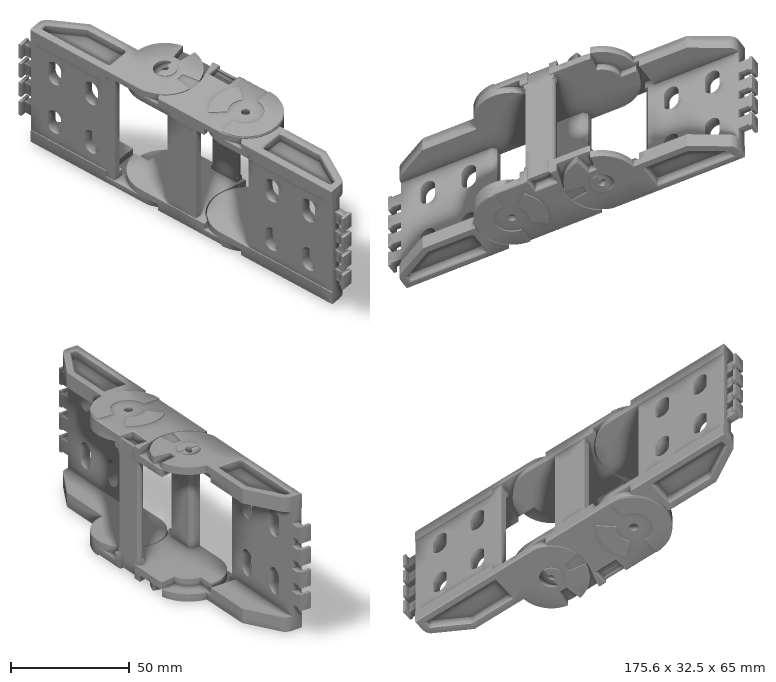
import cadquery as cq
import math

CROWN_Y = 32.5
HINGE_X = 21.8
HINGE_Y = CROWN_Y / 2
DISC_R = CROWN_Y / 2
BADGE_Z = 32.5
CHEEK_Z = 32.0
LAYER_Z = 28.5
INNER_Z = 25.1
EDGE_BEVEL = 0.44

BRACKET_END = 81.5
CHEEK_TOP_Y = 18.3
SLOPE_START = 63.7
SLOPE_ANGLE = math.radians(30)
SLOPE = math.tan(SLOPE_ANGLE)
CORNER_R = 4.4
PLATE_FRONT_Y = 0.44
PLATE_BACK_Y = 5.3
PLATE_INNER_X = 36.2
PLATE_CHAMFER = 1.5
INNER_CHEEK_STOP = 40.7

POCKET_WALL = 3.3
POCKET_INNER_X = 41.5
POCKET_DEPTH = 4.4
POCKET_R = 1.0
RIM_BEVEL = 0.44

SLOT_XS = (48.8, 68.6)
SLOT_Z = 13.7
SLOT_LENGTH = 12.5
SLOT_WIDTH = 7.0
HOOK_PITCH = 10.7
HOOK_COUNT = 4
STEM_WIDTH = 6.0
STEM_FRONT_Y = 2.1
HOOK_WIDTH = 7.7
HOOK_THICK = 1.4
HOOK_END = 87.8

RELIEF_R = 16.8
FOOT_TOP_Y = 3.5
LINK_OUTER_FOOT = (9.3, 7.9)
LINK_INNER_FOOT = (9.3, 9.3)
BRACKET_FOOT = (10.5, 8.8)
RELIEF_LEAN = 16.0
PIN_R = 5.1
LEFT_PIN_BORE_R = 1.5
RIGHT_PIN_BORE_R = 2.0
PIN_BORE_DEPTH = 2.6
PIN_RAMP_DROP = 2.8
TOOTH_ROOT_R = 8.0
TOOTH_ROOT_WIDTH = 3.9
TOOTH_TIP_WIDTH = 6.7
TOOTH_TOP_Z = 31.5
HUB_R = 9.0

BADGE_HUB_R = 7.9
BADGE_R = 16.0
SECTOR_INNER_R = 7.4
SECTOR_OUTER_R = 15.6
SECTOR_HALF_ANGLE = 41.0

BAR_HALF_WIDTH = 7.7
SNAP_HALF_WIDTH = 7.0
SNAP_FACE_HALF_WIDTH = 6.3
SNAP_BACK_Y = 32.0
SNAP_FRONT_Y = 28.8
SNAP_FACET = 1.0
SNAP_FACET_END_Z = 22.8
NOTCH_HALF_WIDTH = 5.3
NOTCH_FLOOR_Y = 25.6
NOTCH_FLOOR_Z = 26.7
SNAP_TONGUE_STEPS = (
    (NOTCH_FLOOR_Y, 27.4),
    (27.2, 28.0),
    (28.5, 28.6),
    (29.3, 29.1),
    (30.9, 30.4),
)


def slab(points, z_low, z_high):
    """Prism over a straight-sided outline."""
    return cq.Workplane("XY").workplane(offset=z_low).polyline(points).close().extrude(z_high - z_low)


def disc(x, radius, z_low, z_high):
    """Round slab on a hinge axis."""
    return (
        cq.Workplane("XY").workplane(offset=z_low)
        .center(x, HINGE_Y).circle(radius).extrude(z_high - z_low)
    )


def box(x_low, x_high, y_low, y_high, z_low, z_high):
    size = (x_high - x_low, y_high - y_low, z_high - z_low)
    return cq.Workplane("XY").box(*size, centered=False).translate((x_low, y_low, z_low))


def both_sides(upper):
    """The upper cheek and its mirror image."""
    return upper.union(upper.mirror("XY"))


def edge_bevel(y_edge, inward):
    """Cutter for the long outer edge of the upper cheek."""
    profile = [
        (y_edge, CHEEK_Z),
        (y_edge + inward * EDGE_BEVEL, CHEEK_Z),
        (y_edge, CHEEK_Z - EDGE_BEVEL),
    ]
    return (
        cq.Workplane("YZ").workplane(offset=-HOOK_END)
        .polyline(profile).close().extrude(2 * HOOK_END)
    )


def tooth(x, angle, z_low, z_high):
    """Locking tooth at the rim of a disc: a wedge along +X, turned by the angle about the axis."""
    tip_x = x + RELIEF_R
    outline = [
        (x + TOOTH_ROOT_R, HINGE_Y - TOOTH_ROOT_WIDTH / 2),
        (tip_x, HINGE_Y - TOOTH_TIP_WIDTH / 2),
        (tip_x, HINGE_Y + TOOTH_TIP_WIDTH / 2),
        (x + TOOTH_ROOT_R, HINGE_Y + TOOTH_ROOT_WIDTH / 2),
    ]
    return slab(outline, z_low, z_high).rotate((x, HINGE_Y, 0), (x, HINGE_Y, 1), angle)


def hinge_relief(foot_reach, z_low, z_high):
    """Clearance in the part to the right of the left hinge, with room for the disc to swing."""
    axis_x = -HINGE_X
    lean = math.radians(RELIEF_LEAN)
    touch_x = axis_x + RELIEF_R * math.cos(lean)
    touch_y = HINGE_Y + RELIEF_R * math.sin(lean)
    top_x = touch_x - (CROWN_Y - touch_y) * math.tan(lean)
    upper = slab(
        [(axis_x, HINGE_Y), (touch_x, touch_y), (top_x, CROWN_Y), (axis_x, CROWN_Y)], z_low, z_high
    )
    mouth, neck = foot_reach
    foot = slab(
        [(axis_x, 0), (axis_x + mouth, 0), (axis_x + neck, FOOT_TOP_Y), (axis_x, FOOT_TOP_Y)], z_low, z_high
    )
    return disc(axis_x, RELIEF_R, z_low, z_high).union(upper).union(foot)



def bracket_cheek(inner_x, z_low, z_high):
    """One layer of a cheek from the outer end to inner_x."""
    end_y = CHEEK_TOP_Y - (BRACKET_END - SLOPE_START) * SLOPE
    outline = [
        (-BRACKET_END, 0), (-inner_x, 0), (-inner_x, CHEEK_TOP_Y),
        (-SLOPE_START, CHEEK_TOP_Y), (-BRACKET_END, end_y),
    ]
    cheek = slab(outline, z_low, z_high)
    corner = cq.selectors.NearestToPointSelector((-BRACKET_END, end_y, (z_low + z_high) / 2))
    return cheek.edges(corner).fillet(CORNER_R)


def cheek_pocket():
    """Blind pocket in the outer face, parallel to the cheek outline, with a bevelled rim."""
    top_y = CHEEK_TOP_Y - POCKET_WALL
    end_x = BRACKET_END - POCKET_WALL
    bend_x = SLOPE_START - POCKET_WALL * math.tan(SLOPE_ANGLE / 2)
    end_y = top_y - (end_x - bend_x) * SLOPE
    outline = [
        (-end_x, POCKET_WALL), (-POCKET_INNER_X, POCKET_WALL), (-POCKET_INNER_X, top_y),
        (-bend_x, top_y), (-end_x, end_y),
    ]
    pocket = slab(outline, CHEEK_Z - POCKET_DEPTH, CHEEK_Z).edges("|Z").fillet(POCKET_R)
    rim = (
        cq.Workplane("XY").workplane(offset=CHEEK_Z - RIM_BEVEL)
        .polyline(outline).close().extrude(RIM_BEVEL, taper=-45)
    )
    return pocket.union(rim)


def mounting_slots():
    return (
        cq.Workplane("XZ").pushPoints([(-x, z) for x in SLOT_XS for z in (-SLOT_Z, SLOT_Z)])
        .slot2D(SLOT_LENGTH, SLOT_WIDTH, 90).extrude(-PLATE_BACK_Y)
    )


def end_hooks():
    """Row of L-shaped hooks on the outer end of the plate."""
    hooks = cq.Workplane("XY")
    for index in range(HOOK_COUNT):
        z = (index - (HOOK_COUNT - 1) / 2) * HOOK_PITCH
        stem = box(
            -HOOK_END, -BRACKET_END, STEM_FRONT_Y, PLATE_BACK_Y, z - STEM_WIDTH / 2, z + STEM_WIDTH / 2
        )
        lip = box(
            -HOOK_END, HOOK_THICK - HOOK_END, 0, PLATE_BACK_Y, z - HOOK_WIDTH / 2, z + HOOK_WIDTH / 2
        )
        hooks = hooks.union(stem).union(lip)
    return hooks


def bracket(cheek):
    """Bracket from its upper cheek: bevel and pocket, plate, slots and hooks."""
    cheek = cheek.cut(edge_bevel(0, 1)).cut(cheek_pocket())
    plate = box(-BRACKET_END, -PLATE_INNER_X, PLATE_FRONT_Y, PLATE_BACK_Y, -INNER_Z, INNER_Z)
    plate = plate.edges(">X and >Y").chamfer(PLATE_CHAMFER)
    return both_sides(cheek).union(plate).cut(mounting_slots()).union(end_hooks())


def make_left_bracket():
    """Its discs are in the outer layer and have two notches and a hole for the link's pin."""
    outer = bracket_cheek(HINGE_X, LAYER_Z, CHEEK_Z).union(disc(-HINGE_X, DISC_R, LAYER_Z, CHEEK_Z))
    outer = outer.cut(disc(-HINGE_X, PIN_R, LAYER_Z, CHEEK_Z))
    for angle in (0, 90):
        outer = outer.cut(tooth(-HINGE_X, angle, LAYER_Z, CHEEK_Z))
    inner = bracket_cheek(INNER_CHEEK_STOP, INNER_Z, LAYER_Z)
    plate_lug = box(-INNER_CHEEK_STOP, -PLATE_INNER_X, PLATE_FRONT_Y, PLATE_BACK_Y, INNER_Z, LAYER_Z)
    return bracket(outer.union(inner).union(plate_lug))


def make_right_bracket():
    """Its discs are in the inner layer and carry pins for the link; mirrored to the right end."""
    inner = bracket_cheek(HINGE_X, INNER_Z, LAYER_Z).union(disc(-HINGE_X, DISC_R, INNER_Z, LAYER_Z))
    relief = hinge_relief(BRACKET_FOOT, LAYER_Z, CHEEK_Z).mirror("YZ", (-HINGE_X, 0, 0))
    outer = bracket_cheek(HINGE_X, LAYER_Z, CHEEK_Z).cut(relief)
    pin = disc(-HINGE_X, PIN_R, INNER_Z, CHEEK_Z)
    bore = disc(-HINGE_X, RIGHT_PIN_BORE_R, CHEEK_Z - PIN_BORE_DEPTH, CHEEK_Z)
    return bracket(inner.union(outer).union(pin).cut(bore)).mirror("YZ")



def link_pin():
    """Pin for the left bracket: raised half towards the link, ramped half away from it."""
    pin = disc(-HINGE_X, PIN_R, LAYER_Z, BADGE_Z)
    ramp = (
        cq.Workplane("XZ")
        .polyline([
            (-HINGE_X, BADGE_Z), (-HINGE_X, CHEEK_Z),
            (-HINGE_X - PIN_R, CHEEK_Z - PIN_RAMP_DROP), (-HINGE_X - PIN_R, BADGE_Z),
        ])
        .close().extrude(-CROWN_Y)
    )
    bore = disc(-HINGE_X, LEFT_PIN_BORE_R, CHEEK_Z - PIN_BORE_DEPTH, BADGE_Z)
    return pin.cut(ramp).cut(bore)


def half_badge():
    """Raised outer half of the right disc, round the level hub."""
    ring = disc(HINGE_X, BADGE_R, CHEEK_Z, BADGE_Z).cut(disc(HINGE_X, BADGE_HUB_R, CHEEK_Z, BADGE_Z))
    return ring.intersect(box(HINGE_X, HINGE_X + DISC_R, 0, CROWN_Y, CHEEK_Z, BADGE_Z))


def sector_badge():
    """Raised ring sector on the left of the right hinge axis."""
    def polar(radius, angle):
        turn = math.radians(angle)
        return (HINGE_X - radius * math.cos(turn), HINGE_Y + radius * math.sin(turn))

    return (
        cq.Workplane("XY").workplane(offset=CHEEK_Z)
        .moveTo(*polar(SECTOR_INNER_R, -SECTOR_HALF_ANGLE))
        .lineTo(*polar(SECTOR_OUTER_R, -SECTOR_HALF_ANGLE))
        .threePointArc(polar(SECTOR_OUTER_R, 0), polar(SECTOR_OUTER_R, SECTOR_HALF_ANGLE))
        .lineTo(*polar(SECTOR_INNER_R, SECTOR_HALF_ANGLE))
        .threePointArc(polar(SECTOR_INNER_R, 0), polar(SECTOR_INNER_R, -SECTOR_HALF_ANGLE))
        .close().extrude(BADGE_Z - CHEEK_Z)
    )


def link_inner_layer():
    """Inner layer: the left disc, relieved above its hub beside a tooth, up to the right relief."""
    left = disc(-HINGE_X, DISC_R, INNER_Z, LAYER_Z)
    upper_left = box(-HINGE_X - DISC_R, -HINGE_X, HINGE_Y, CROWN_Y, INNER_Z, LAYER_Z)
    upper_left = upper_left.cut(disc(-HINGE_X, HUB_R, INNER_Z, LAYER_Z))
    left = left.cut(upper_left.cut(tooth(-HINGE_X, 90, INNER_Z, LAYER_Z)))
    body = box(-HINGE_X, HINGE_X, 0, CROWN_Y, INNER_Z, LAYER_Z)
    return body.cut(hinge_relief(LINK_INNER_FOOT, INNER_Z, LAYER_Z).mirror("YZ")).union(left)


def link_outer_layer():
    """Outer layer: from the left relief, with its locking tooth, to the right disc."""
    body = box(-HINGE_X, HINGE_X, 0, CROWN_Y, LAYER_Z, CHEEK_Z)
    body = body.cut(hinge_relief(LINK_OUTER_FOOT, LAYER_Z, CHEEK_Z))
    body = body.union(tooth(-HINGE_X, 0, LAYER_Z, TOOTH_TOP_Z))
    body = body.union(disc(HINGE_X, DISC_R, LAYER_Z, CHEEK_Z))
    return body.cut(disc(HINGE_X, PIN_R, LAYER_Z, CHEEK_Z))


def snap_notch():
    """Notch in the cheek for the snap-in bar's tongue, with a bevelled rim."""
    width = 2 * NOTCH_HALF_WIDTH
    notch = box(-NOTCH_HALF_WIDTH, NOTCH_HALF_WIDTH, NOTCH_FLOOR_Y, CROWN_Y, NOTCH_FLOOR_Z, CHEEK_Z)
    entry = box(-NOTCH_HALF_WIDTH, NOTCH_HALF_WIDTH, SNAP_FRONT_Y, CROWN_Y, INNER_Z, CHEEK_Z)
    rim = (
        cq.Workplane("XY").workplane(offset=CHEEK_Z - RIM_BEVEL)
        .center(0, NOTCH_FLOOR_Y + CROWN_Y / 2).rect(width, CROWN_Y).extrude(RIM_BEVEL, taper=-45)
    )
    return notch.union(entry).union(rim)


def make_link():
    cheek = link_inner_layer().union(link_outer_layer())
    cheek = cheek.cut(edge_bevel(0, 1)).cut(edge_bevel(CROWN_Y, -1)).cut(snap_notch())
    cheek = cheek.union(link_pin()).union(half_badge()).union(sector_badge())
    crossbar = box(-BAR_HALF_WIDTH, BAR_HALF_WIDTH, PLATE_FRONT_Y, PLATE_BACK_Y, -INNER_Z, INNER_Z)
    crossbar = crossbar.edges("|Z and >Y").chamfer(PLATE_CHAMFER)
    return both_sides(cheek).union(crossbar)



def make_snap_bar():
    """Bar between the cheeks with faceted sides, square ends, and a stepped tongue in each notch."""
    profile = [
        (-SNAP_FACE_HALF_WIDTH, SNAP_FRONT_Y), (SNAP_FACE_HALF_WIDTH, SNAP_FRONT_Y),
        (SNAP_HALF_WIDTH, SNAP_FRONT_Y + SNAP_FACET), (SNAP_HALF_WIDTH, SNAP_BACK_Y - SNAP_FACET),
        (SNAP_FACE_HALF_WIDTH, SNAP_BACK_Y), (-SNAP_FACE_HALF_WIDTH, SNAP_BACK_Y),
        (-SNAP_HALF_WIDTH, SNAP_BACK_Y - SNAP_FACET), (-SNAP_HALF_WIDTH, SNAP_FRONT_Y + SNAP_FACET),
    ]
    bar = slab(profile, -INNER_Z, INNER_Z)
    collar = box(
        -SNAP_HALF_WIDTH, SNAP_HALF_WIDTH, SNAP_FRONT_Y, SNAP_BACK_Y, SNAP_FACET_END_Z, INNER_Z
    )
    tongue = box(
        -NOTCH_HALF_WIDTH, NOTCH_HALF_WIDTH, SNAP_FRONT_Y, SNAP_BACK_Y, INNER_Z, NOTCH_FLOOR_Z
    )
    for low_y, end_z in SNAP_TONGUE_STEPS:
        step = box(-NOTCH_HALF_WIDTH, NOTCH_HALF_WIDTH, low_y, SNAP_BACK_Y, NOTCH_FLOOR_Z, end_z)
        tongue = tongue.union(step)
    return bar.union(both_sides(collar.union(tongue)))


left_bracket = make_left_bracket()
right_bracket = make_right_bracket()
link = make_link()
snap_bar = make_snap_bar()

bodies = [left_bracket, right_bracket, link, snap_bar]
result = cq.Compound.makeCompound([body.solids().val() for body in bodies])